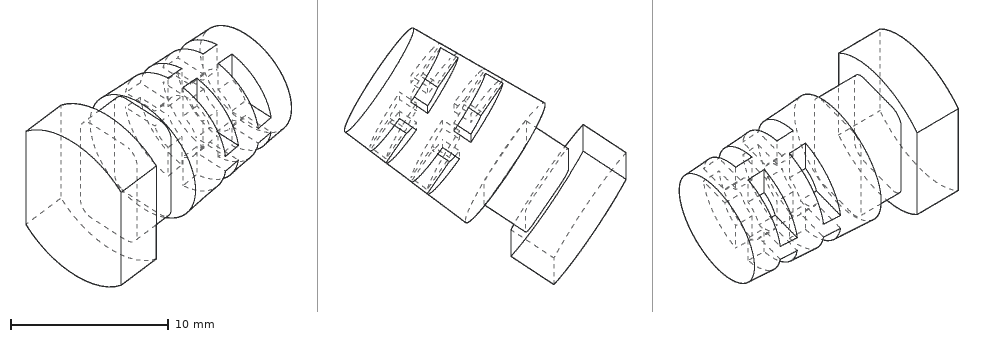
import cadquery as cq

total_length = 16.18
head_length = 3.3
neck_length = 3.2
plug_start = head_length + neck_length

head_diameter = 11.63
head_width = 8.25

neck_width = 4.89
neck_height = 8.3
neck_corner_radius = 1.0

plug_base_diameter = 9.14
plug_base_radius = plug_base_diameter / 2
plug_tip_radius = 3.96
core_radius = 1.91
rib_thickness = 1.3
slot_length = 1.3
slot_pitch = 3.3
slot_rows = 2
tip_wall = 2.0


def section_plane(y):
    """Plane across the part at y, with its normal along +Y."""
    return cq.Workplane(cq.Plane(origin=(0, y, 0), xDir=(1, 0, 0), normal=(0, 1, 0)))


def make_head():
    disc = section_plane(0).circle(head_diameter / 2).extrude(head_length)
    flats = section_plane(0).rect(head_width, head_diameter).extrude(head_length)
    return disc.intersect(flats)


def make_neck():
    bar = section_plane(head_length).rect(neck_width, neck_height).extrude(neck_length)
    return bar.edges("|Y").fillet(neck_corner_radius)


def make_plug():
    profile = (
        cq.Workplane("XY")
        .moveTo(0, plug_start)
        .lineTo(plug_base_radius, plug_start)
        .lineTo(plug_tip_radius, total_length)
        .lineTo(0, total_length)
        .close()
    )
    return profile.revolve(360, (0, 0, 0), (0, 1, 0))


def make_slot_row(y):
    """Ring around the round core, divided into four slots by crossed ribs."""
    ring = section_plane(y).circle(plug_base_radius).circle(core_radius).extrude(slot_length)
    rib_span = 2 * plug_base_radius
    upright_rib = section_plane(y).rect(rib_thickness, rib_span).extrude(slot_length)
    level_rib = section_plane(y).rect(rib_span, rib_thickness).extrude(slot_length)
    return ring.cut(upright_rib).cut(level_rib)


plug = make_plug()
last_slot_start = total_length - tip_wall - slot_length
for row in range(slot_rows):
    plug = plug.cut(make_slot_row(last_slot_start - row * slot_pitch))

result = make_head().union(make_neck()).union(plug)